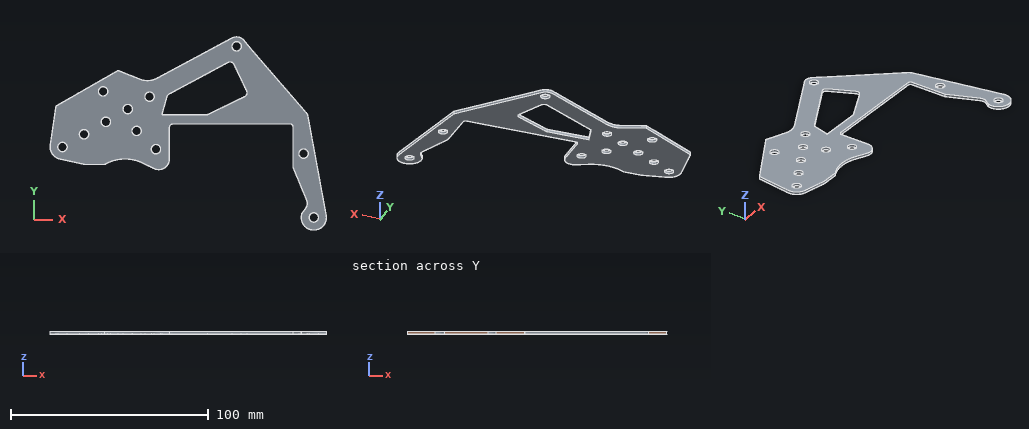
import cadquery as cq
import math

thickness = 1.5
hole_diameter = 4.6

foot_radius = 6.4
foot_center = (139.7 - foot_radius, foot_radius)
foot_start_angle = 162
foot_end_angle = 10

body_right_x = 60.3
arm_left_x = 122.6
bar_bottom_y = 53.6
body_bottom_y = 33.1
window_bottom_y = 58.4

valley = ((49.9, 74.6), 10.0)
apex = ((95.4, 99.0), 4.9)
ankle = ((130.5, 13.0), 4.2)
arm_inner = ((arm_left_x, bar_bottom_y), 1.3)
body_inner = ((body_right_x, bar_bottom_y), 1.8)
body_lower_right = ((body_right_x, 27.2), 5.5)
body_lower_left = ((-0.8, 37.2), 6.4)
outline_fillets = [valley, apex, ankle, arm_inner, body_inner, body_lower_right, body_lower_left]

body_left_top = (3.0, 62.7)
body_peak = (34.4, 80.7)
shoulder = (103.1, 89.8)
elbow = (130.2, 58.5)
arm_bend = (arm_left_x, 31.8)
hollow_start = (46.1, 34.2)
hollow_crest = (36.7, 35.9)
hollow_end = (27.5, body_bottom_y)
bottom_left_bend = (17.7, body_bottom_y)

window_top_left = ((59.4, 68.3), 2.1)
window_top = ((91.9, 85.8), 2.1)
window_right = ((100.1, 68.5), 2.1)
window_bottom_right = (79.5, window_bottom_y)
window_bottom_left = (56.5, window_bottom_y)

hole_centers = [
    foot_center,
    (128.1, 38.7),
    (94.3, 92.9),
    (26.8, 70.1),
    (50.3, 67.5),
    (39.2, 61.2),
    (28.2, 54.8),
    (43.7, 50.1),
    (17.2, 48.5),
    (6.3, 42.0),
    (53.5, 40.9),
]


def foot_point(degrees):
    """Point on the outer arc of the foot."""
    angle = math.radians(degrees)
    return (
        foot_center[0] + foot_radius * math.cos(angle),
        foot_center[1] + foot_radius * math.sin(angle),
    )


def round_corners(body, corners):
    """Fillet the vertical edge at each (point, radius) corner."""
    for (x, y), radius in corners:
        edge = cq.selectors.NearestToPointSelector((x, y, thickness / 2))
        body = body.edges("|Z").edges(edge).fillet(radius)
    return body


def make_plate():
    outline = (
        cq.Workplane("XY")
        .moveTo(*body_left_top)
        .lineTo(*body_peak)
        .lineTo(*valley[0])
        .lineTo(*apex[0])
        .lineTo(*shoulder)
        .lineTo(*elbow)
        .lineTo(*foot_point(foot_end_angle))
        .threePointArc(foot_point(-90), foot_point(foot_start_angle))
        .lineTo(*ankle[0])
        .lineTo(*arm_bend)
        .lineTo(*arm_inner[0])
        .lineTo(*body_inner[0])
        .lineTo(*body_lower_right[0])
        .lineTo(*hollow_start)
        .threePointArc(hollow_crest, hollow_end)
        .lineTo(*bottom_left_bend)
        .lineTo(*body_lower_left[0])
        .close()
    )
    return round_corners(outline.extrude(thickness), outline_fillets)


def make_window():
    rounded = [window_top_left, window_top, window_right]
    corners = [point for point, radius in rounded] + [window_bottom_right, window_bottom_left]
    window = cq.Workplane("XY").polyline(corners).close().extrude(thickness)
    return round_corners(window, rounded)


def make_holes():
    return cq.Workplane("XY").pushPoints(hole_centers).circle(hole_diameter / 2).extrude(thickness)


result = make_plate().cut(make_window()).cut(make_holes())